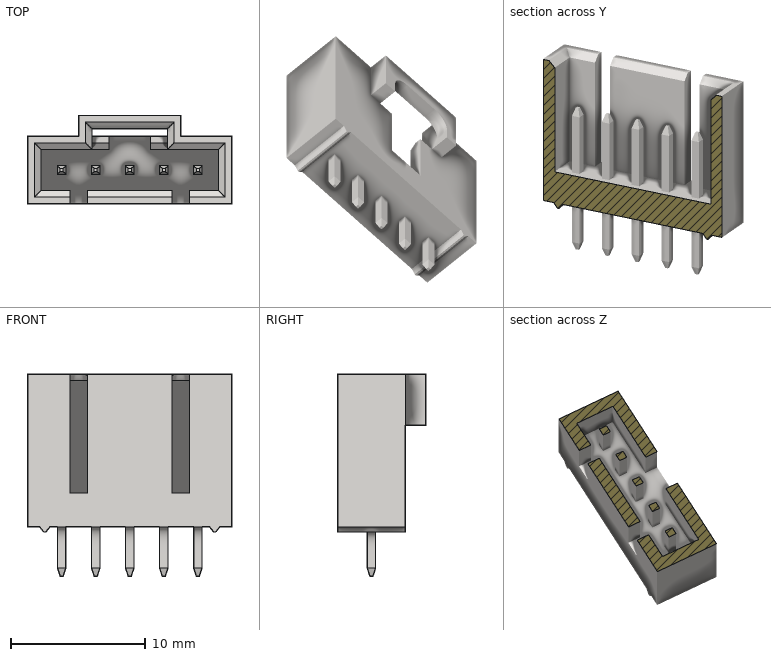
import cadquery as cq

BODY_X = 15.24
BODY_Y = 5.06
BODY_Z = 11.4
WALL = 1.0
LEAD_IN = WALL / 2
CAVITY_DEPTH = 8.87
FLOOR_Z = BODY_Z - CAVITY_DEPTH

BUMP_X = 7.62
BUMP_Y = 1.54
BUMP_Z = 3.84
LEDGE_Z = BODY_Z - BUMP_Z
BUMP_INNER_X = BUMP_X - 2 * WALL
WINDOW_LINTEL = 1.5
WINDOW_FILLET = 1.31

BACK_NOTCH_X = 3.1
FRONT_SLOT_X = 1.28
FRONT_SLOT_OFFSET = 3.81

PIN_COUNT = 5
PIN_PITCH = BODY_X / (PIN_COUNT + 1)
PIN_SIZE = 0.64
PIN_TIP_SIZE = 0.23
PIN_TIP_LENGTH = 0.62
PIN_BELOW = 3.7
PIN_ABOVE_FLOOR = 5.18

RIB_OFFSET = 6.34
RIB_BASE = 0.8
RIB_TIP = 0.15
RIB_HEIGHT = 0.4

BACK_Y = BODY_Y / 2
FRONT_Y = -BODY_Y / 2
BUMP_BACK_Y = BACK_Y + BUMP_Y


def block(x_size, y_min, y_max, z_min, z_max, x_center=0.0):
    """Box given by its width about x_center and its Y and Z limits."""
    size = (x_size, y_max - y_min, z_max - z_min)
    corner = (x_center - x_size / 2, y_min, z_min)
    return cq.Workplane("XY").box(*size, centered=False).translate(corner)


def stepped_outline(plane, inset):
    """Outline of housing and bump together, moved inward by inset, on the given plane."""
    half_body = BODY_X / 2 - inset
    half_bump = BUMP_X / 2 - inset
    front = FRONT_Y + inset
    back = BACK_Y - inset
    bump_back = BUMP_BACK_Y - inset
    return plane.polyline([
        (-half_body, front),
        (half_body, front),
        (half_body, back),
        (half_bump, back),
        (half_bump, bump_back),
        (-half_bump, bump_back),
        (-half_bump, back),
        (-half_body, back),
    ]).close()


def cut_cavity(housing):
    main = block(BODY_X - 2 * WALL, FRONT_Y + WALL, BACK_Y - WALL, FLOOR_Z, BODY_Z)
    key = block(BUMP_INNER_X, 0, BUMP_BACK_Y - WALL, LEDGE_Z, BODY_Z)
    mouth_bottom = stepped_outline(cq.Workplane("XY", origin=(0, 0, BODY_Z - LEAD_IN)), WALL)
    mouth_top = stepped_outline(mouth_bottom.workplane(offset=LEAD_IN), WALL - LEAD_IN)
    chamfered_mouth = mouth_top.loft(ruled=True)
    return housing.cut(main).cut(key).cut(chamfered_mouth)


def cut_back_openings(housing):
    window = block(BUMP_INNER_X, BACK_Y, BUMP_BACK_Y, LEDGE_Z, BODY_Z - WINDOW_LINTEL)
    window = window.edges("|Y and >Z").fillet(WINDOW_FILLET)
    ledge_chamfer = (
        cq.Workplane("YZ")
        .polyline([
            (BACK_Y - WALL, LEDGE_Z),
            (BACK_Y - LEAD_IN, LEDGE_Z),
            (BACK_Y - WALL, LEDGE_Z - LEAD_IN),
        ])
        .close()
        .extrude(BUMP_INNER_X / 2, both=True)
    )
    notch = block(BACK_NOTCH_X, BACK_Y - WALL, BACK_Y, FLOOR_Z, LEDGE_Z)
    return housing.cut(window).cut(ledge_chamfer).cut(notch)


def cut_front_slots(housing):
    for x in (-FRONT_SLOT_OFFSET, FRONT_SLOT_OFFSET):
        housing = housing.cut(block(FRONT_SLOT_X, FRONT_Y, FRONT_Y + WALL, FLOOR_Z, BODY_Z, x))
    return housing


def crush_rib(x):
    return (
        cq.Workplane("XZ")
        .polyline([
            (x - RIB_BASE / 2, 0),
            (x + RIB_BASE / 2, 0),
            (x + RIB_TIP / 2, -RIB_HEIGHT),
            (x - RIB_TIP / 2, -RIB_HEIGHT),
        ])
        .close()
        .extrude(BODY_Y / 2, both=True)
    )


def pin(x):
    """Square pin through the floor, with a tapered tip at each end."""
    shank_bottom = PIN_TIP_LENGTH - PIN_BELOW
    shank_top = FLOOR_Z + PIN_ABOVE_FLOOR - PIN_TIP_LENGTH
    shank = block(PIN_SIZE, -PIN_SIZE / 2, PIN_SIZE / 2, shank_bottom, shank_top, x)
    for face in (">Z", "<Z"):
        shank = (
            shank.faces(face).workplane(centerOption="CenterOfMass")
            .rect(PIN_SIZE, PIN_SIZE)
            .workplane(offset=PIN_TIP_LENGTH)
            .rect(PIN_TIP_SIZE, PIN_TIP_SIZE)
            .loft(combine=True)
        )
    return shank


result = block(BODY_X, FRONT_Y, BACK_Y, 0, BODY_Z)
result = result.union(block(BUMP_X, 0, BUMP_BACK_Y, LEDGE_Z, BODY_Z))
result = cut_cavity(result)
result = cut_back_openings(result)
result = cut_front_slots(result)

for rib_x in (-RIB_OFFSET, RIB_OFFSET):
    result = result.union(crush_rib(rib_x))

for index in range(PIN_COUNT):
    result = result.union(pin((index - (PIN_COUNT - 1) / 2) * PIN_PITCH))